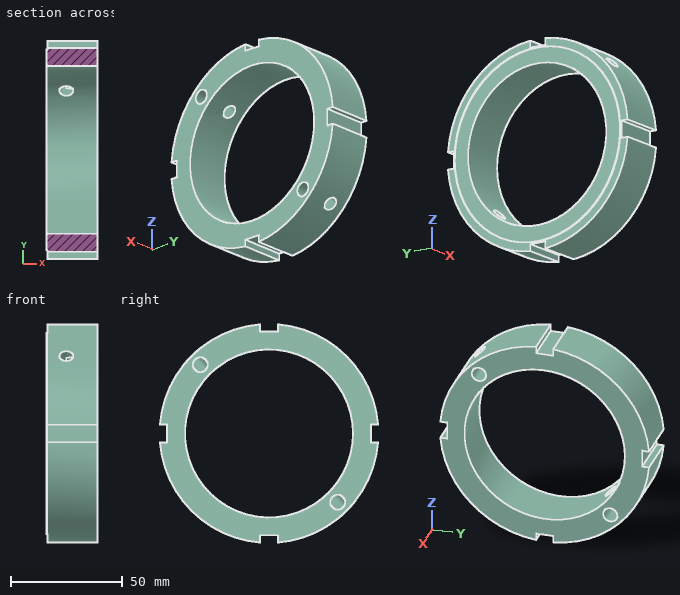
import cadquery as cq
import math

overall_height = 97.7
bore_diameter = 75.0
width = 23.0

face_diameter = 90.0
face_height = 0.5

slot_count = 4
slot_width = 8.0
slot_floor_radius = 45.6

outer_diameter = 2 * math.hypot(overall_height / 2, slot_width / 2)

radial_hole_diameter = 6.2
hole_x = -2.5
hole_angles = (45, 225)

axial_hole_diameter = 6.6
axial_hole_radius = 43.5

left_face_x = -width / 2
right_face_x = width / 2
shoulder_x = left_face_x + face_height


def disc(diameter, start_x, length):
    """Cylinder along +X from start_x."""
    return cq.Workplane("YZ", origin=(start_x, 0, 0)).circle(diameter / 2).extrude(length)


def spanner_slot(angle):
    """Box that cuts one slot through the full width of the rim."""
    slot_height = outer_diameter / 2
    box = cq.Workplane("XY").box(width, slot_width, slot_height, centered=(True, True, False))
    return box.translate((0, 0, slot_floor_radius)).rotate((0, 0, 0), (1, 0, 0), angle)


def radial_hole(angle):
    """Radial cylinder from the ring axis outward, turned from +Z about X."""
    hole = cq.Workplane("XY").center(hole_x, 0).circle(radial_hole_diameter / 2).extrude(outer_diameter)
    return hole.rotate((0, 0, 0), (1, 0, 0), angle)


def axial_hole(angle):
    """Flat-bottomed hole running from the radial hole axis to the +X face."""
    hole = disc(axial_hole_diameter, hole_x, right_face_x - hole_x)
    return hole.translate((0, 0, axial_hole_radius)).rotate((0, 0, 0), (1, 0, 0), angle)


ring = disc(outer_diameter, shoulder_x, width - face_height)
ring = ring.union(disc(face_diameter, left_face_x, face_height))
ring = ring.cut(disc(bore_diameter, left_face_x, width))

for index in range(slot_count):
    ring = ring.cut(spanner_slot(index * 360 / slot_count))

for angle in hole_angles:
    ring = ring.cut(radial_hole(angle)).cut(axial_hole(angle))

result = ring